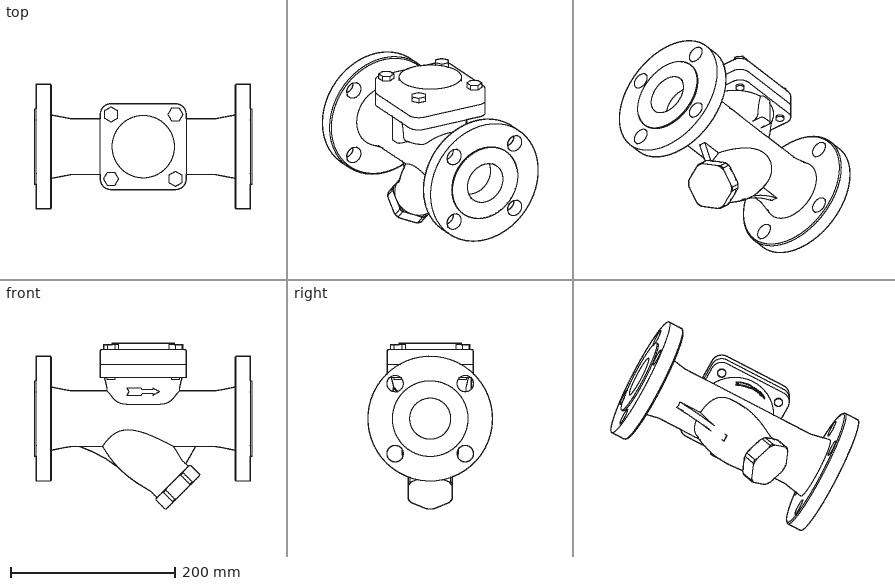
import cadquery as cq
import math


ARC_MIDDLE = math.sqrt(0.5)

LENGTH = 265.0
RAISED_FACE_DIA = 92.2
RAISED_FACE_HEIGHT = 1.9
FLANGE_DIA = 152.0
FLANGE_THICKNESS = 19.0
FLANGE_CHAMFER = 1.5
HUB_DIA = 77.5
HUB_LENGTH = 24.5
PIPE_DIA = 68.0
BORE_DIA = 50.0
BORE_DEPTH = 30.0
FLANGE_HOLE_DIA = 20.0
FLANGE_HOLE_OFFSET = 42.7

BOWL_BOTTOM_Z = 17.5
BOWL_BEND_Z = 25.5
BOWL_WAIST_Z = 38.0
TOP_BOTTOM_Z = 50.0
JOINT_Z = 66.2
BOWL_BEND_RADIUS = 43.5
BOWL_WAIST_RADIUS = 44.5
BOWL_TOP_RADIUS = 47.5
TOP_WIDTH = 105.0
TOP_CORNER_RADIUS = 13.2
PAD_WIDTH = 17.0
PAD_FACE_Y = 50.0
PAD_CORNER_RADIUS = 4.0
ARROW_RELIEF = 1.0
ARROW_LENGTH = 39.8
ARROW_HEIGHT = 8.7
ARROW_MIDDLE_Z = 32.9
ARROW_NOTCH = 2.6
ARROW_SHAFT_HEIGHT = 4.8
ARROW_TAIL_END_X = -2.6
ARROW_TAIL_TAPER = 1.5
ARROW_HEAD_X = 11.7

COVER_TOP_Z = 84.3
COVER_FILLET = 2.0
DISC_DIA = 76.0
DISC_TOP_Z = 92.0
DISC_FILLET = 3.0
BOLT_DIA = 10.0
BOLT_HEAD_FLATS = 16.0
BOLT_HEAD_TOP_Z = 90.0
BOLT_OFFSET = TOP_WIDTH / 2 - TOP_CORNER_RADIUS
BOLT_TIP_Z = 47.7
QUARTER_TURN = 90.0

BRANCH_X = -41.3
BRANCH_ANGLE = 45.0
BRANCH_ROOT = 5.3
BRANCH_ROOT_RADIUS = 26.5
BRANCH_NECK = 18.5
BRANCH_NECK_RADIUS = 30.2
BRANCH_BELLY = 46.5
BRANCH_BELLY_RADIUS = 34.5
BRANCH_TAPER = 79.5
BRANCH_TAPER_RADIUS = 31.5
BOSS_START = 98.8
BOSS_END = 109.2
BOSS_DIA = 54.0
CAP_END = 127.0
CAP_FLATS = BOSS_DIA
CAP_CORNER_DIA = 60.0
CAP_CHAMFER = 1.0

WEB_THICKNESS = 8.0
WEB_TOP_Z = -26.5
WEB_LEFT_START = (-79.5, -33.5)
WEB_LEFT_MIDDLE = (-50.0, -46.5)
WEB_LEFT_END = (-13.2, -74.7)
WEB_RIGHT_TOP_X = 68.0
WEB_RIGHT_BOTTOM = (52.5, -54.0)


def pipe_with_flanges():
    """Pipe, conical hubs, flanges and raised faces, revolved around the X axis."""
    half = LENGTH / 2
    flange_outer = half - RAISED_FACE_HEIGHT
    flange_inner = flange_outer - FLANGE_THICKNESS
    hub_end = flange_inner - HUB_LENGTH
    right_side = [
        (hub_end, PIPE_DIA / 2),
        (flange_inner, HUB_DIA / 2),
        (flange_inner, FLANGE_DIA / 2 - FLANGE_CHAMFER),
        (flange_inner + FLANGE_CHAMFER, FLANGE_DIA / 2),
        (flange_outer, FLANGE_DIA / 2),
        (flange_outer, RAISED_FACE_DIA / 2),
        (half, RAISED_FACE_DIA / 2),
        (half, 0),
    ]
    left_side = [(-x, r) for x, r in reversed(right_side)]
    return cq.Workplane("XY").polyline(left_side + right_side).close().revolve(360, (0, 0, 0), (1, 0, 0))


def flange_holes():
    """Four bolt holes running through both flanges."""
    offset = FLANGE_HOLE_OFFSET
    places = [(y, z) for y in (-offset, offset) for z in (-offset, offset)]
    spacing = LENGTH - 2 * (RAISED_FACE_HEIGHT + FLANGE_THICKNESS)
    holes = cq.Workplane("YZ").pushPoints(places).circle(FLANGE_HOLE_DIA / 2).extrude(LENGTH / 2, both=True)
    return holes.cut(cq.Workplane("XY").box(spacing, FLANGE_DIA, FLANGE_DIA))


def end_bores():
    """Blind bore at each end of the pipe."""
    left = cq.Workplane("YZ", origin=(-LENGTH / 2, 0, 0)).circle(BORE_DIA / 2).extrude(BORE_DEPTH)
    return left.union(left.mirror("YZ"))


def bowl(growth=0.0):
    """Round bowl under the square top; growth moves its side outwards."""
    corner = BOWL_BEND_Z - BOWL_BOTTOM_Z
    bend_radius = BOWL_BEND_RADIUS + growth
    arc_middle = (
        bend_radius - corner * (1 - ARC_MIDDLE),
        BOWL_BEND_Z - corner * ARC_MIDDLE,
    )
    return (
        cq.Workplane("XZ")
        .moveTo(0, BOWL_BOTTOM_Z)
        .lineTo(bend_radius - corner, BOWL_BOTTOM_Z)
        .threePointArc(arc_middle, (bend_radius, BOWL_BEND_Z))
        .lineTo(BOWL_WAIST_RADIUS + growth, BOWL_WAIST_Z)
        .lineTo(BOWL_TOP_RADIUS + growth, TOP_BOTTOM_Z)
        .lineTo(0, TOP_BOTTOM_Z)
        .close()
        .revolve(360, (0, 0, 0), (0, 1, 0))
    )


def flow_arrow():
    """Raised arrow on the -Y side of the bowl, pointing along +X."""
    half_length = ARROW_LENGTH / 2
    half_height = ARROW_HEIGHT / 2
    half_shaft = ARROW_SHAFT_HEIGHT / 2
    upper = [
        (-half_length, half_height),
        (ARROW_TAIL_END_X, half_height),
        (ARROW_TAIL_END_X + ARROW_TAIL_TAPER, half_shaft),
        (ARROW_HEAD_X, half_shaft),
        (ARROW_HEAD_X, half_height),
    ]
    lower = [(x, -z) for x, z in reversed(upper)]
    outline = [(ARROW_NOTCH - half_length, 0)] + upper + [(half_length, 0)] + lower
    prism = cq.Workplane("XZ", origin=(0, 0, ARROW_MIDDLE_Z)).polyline(outline).close().extrude(TOP_WIDTH / 2)
    return prism.intersect(bowl(ARROW_RELIEF))


def bowl_pad():
    """Upright pad with rounded corners on the +Y side of the bowl."""
    return (
        cq.Workplane("XY", origin=(0, 0, BOWL_BOTTOM_Z))
        .center(0, PAD_FACE_Y / 2)
        .rect(PAD_WIDTH, PAD_FACE_Y)
        .extrude(TOP_BOTTOM_Z - BOWL_BOTTOM_Z)
        .edges("|Z and >Y")
        .fillet(PAD_CORNER_RADIUS)
    )


def square_plate(bottom_z, top_z):
    """Square plate with round corners, shared by the housing top and the cover."""
    return (
        cq.Workplane("XY", origin=(0, 0, bottom_z))
        .rect(TOP_WIDTH, TOP_WIDTH)
        .extrude(top_z - bottom_z)
        .edges("|Z")
        .fillet(TOP_CORNER_RADIUS)
    )


def branch_plane():
    """Plane across the branch: its normal is the branch axis, its x direction is +Y."""
    angle = math.radians(BRANCH_ANGLE)
    direction = (math.cos(angle), 0, -math.sin(angle))
    return cq.Plane(origin=(BRANCH_X, 0, 0), xDir=(0, 1, 0), normal=direction)


def branch():
    """Bulging branch body and its cylindrical boss, revolved around the inclined axis."""
    across = branch_plane()
    along = cq.Plane(origin=across.origin, xDir=across.zDir, normal=(0, 1, 0))
    return (
        cq.Workplane(along)
        .moveTo(BRANCH_ROOT, 0)
        .lineTo(BRANCH_ROOT, BRANCH_ROOT_RADIUS)
        .spline(
            [
                (BRANCH_NECK, BRANCH_NECK_RADIUS),
                (BRANCH_BELLY, BRANCH_BELLY_RADIUS),
                (BRANCH_TAPER, BRANCH_TAPER_RADIUS),
                (BOSS_START, BOSS_DIA / 2),
            ],
            includeCurrent=True,
        )
        .lineTo(BOSS_END, BOSS_DIA / 2)
        .lineTo(BOSS_END, 0)
        .close()
        .revolve(360, (0, 0, 0), (1, 0, 0))
    )


def branch_cap():
    """Hexagonal end of the branch with its corners turned down and chamfered; two flats face -Y and +Y."""
    height = CAP_END - BOSS_END
    face = cq.Workplane(branch_plane()).workplane(offset=BOSS_END)
    hexagon = face.polygon(6, CAP_FLATS, circumscribed=True).extrude(height)
    envelope = face.circle(CAP_CORNER_DIA / 2).extrude(height).edges("%CIRCLE").chamfer(CAP_CHAMFER)
    return hexagon.intersect(envelope)


def web():
    """Flat web in the XZ plane that ties the branch to the pipe."""
    return (
        cq.Workplane("XZ")
        .moveTo(WEB_LEFT_START[0], WEB_TOP_Z)
        .lineTo(*WEB_LEFT_START)
        .threePointArc(WEB_LEFT_MIDDLE, WEB_LEFT_END)
        .lineTo(*WEB_RIGHT_BOTTOM)
        .lineTo(WEB_RIGHT_TOP_X, WEB_TOP_Z)
        .close()
        .extrude(WEB_THICKNESS / 2, both=True)
    )


def bolt_places():
    """Bolt centres in order around the Z axis, each a quarter turn after the last."""
    return [(BOLT_OFFSET, BOLT_OFFSET), (-BOLT_OFFSET, BOLT_OFFSET),
            (-BOLT_OFFSET, -BOLT_OFFSET), (BOLT_OFFSET, -BOLT_OFFSET)]


def bolt_shanks():
    """Round shanks reaching from the joint to just below the housing top."""
    return (
        cq.Workplane("XY", origin=(0, 0, BOLT_TIP_Z))
        .pushPoints(bolt_places())
        .circle(BOLT_DIA / 2)
        .extrude(JOINT_Z - BOLT_TIP_Z)
    )


def build_housing():
    """Pipe, bowl, square top, branch and web as one solid, with holes for the bolt shanks."""
    housing = pipe_with_flanges().cut(flange_holes())
    for piece in (bowl(), flow_arrow(), bowl_pad(), square_plate(TOP_BOTTOM_Z, JOINT_Z),
                  branch(), branch_cap(), web()):
        housing = housing.union(piece)
    return housing.cut(end_bores()).cut(bolt_shanks())


def bolt_head(place, angle):
    """Hexagonal head standing on the cover, turned about its own axis by the angle."""
    return (
        cq.Workplane("XY")
        .polygon(6, BOLT_HEAD_FLATS, circumscribed=True)
        .extrude(BOLT_HEAD_TOP_Z - COVER_TOP_Z)
        .rotate((0, 0, 0), (0, 0, 1), angle)
        .translate((*place, COVER_TOP_Z))
    )


def raised_disc():
    """Round disc on the cover, with a concave fillet around its foot."""
    radius = DISC_DIA / 2
    foot_middle = DISC_FILLET * (1 - ARC_MIDDLE)
    return (
        cq.Workplane("XZ")
        .moveTo(0, COVER_TOP_Z)
        .lineTo(radius + DISC_FILLET, COVER_TOP_Z)
        .threePointArc((radius + foot_middle, COVER_TOP_Z + foot_middle), (radius, COVER_TOP_Z + DISC_FILLET))
        .lineTo(radius, DISC_TOP_Z)
        .lineTo(0, DISC_TOP_Z)
        .close()
        .revolve(360, (0, 0, 0), (0, 1, 0))
    )


def build_cover():
    """Cover plate with its raised disc and its four bolts as one solid."""
    cover = square_plate(JOINT_Z, COVER_TOP_Z).faces(">Z").edges().fillet(COVER_FILLET)
    cover = cover.union(raised_disc()).union(bolt_shanks())
    for index, place in enumerate(bolt_places()):
        angle = QUARTER_TURN * (index + 1)
        cover = cover.union(bolt_head(place, angle))
    return cover


housing = build_housing()
cover = build_cover()
result = cq.Compound.makeCompound([housing.val(), cover.val()])